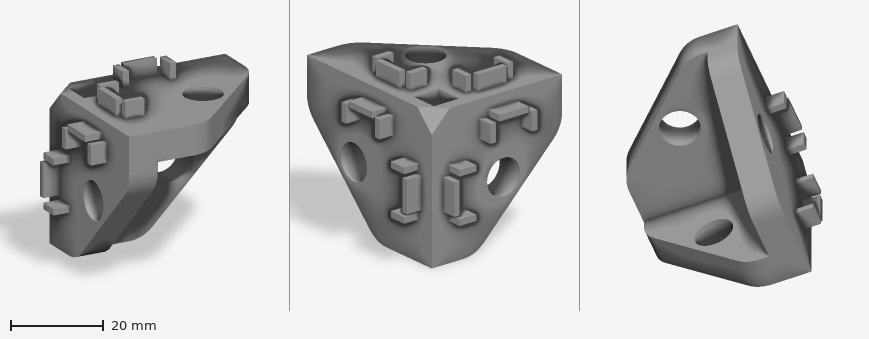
import cadquery as cq

PLATE_THICKNESS = 7.0
WING_LENGTH = 36.0
LONG_WING_LENGTH = WING_LENGTH + PLATE_THICKNESS
BEVEL = 24.0
BEVEL_ROUND = 8.0

HOLE_DIAMETER = 9.0
HOLE_OFFSET = 19.8
LONG_HOLE_OFFSET = HOLE_OFFSET + PLATE_THICKNESS

SQUARE_HOLE_SIDE = 7.0
SQUARE_HOLE_OFFSET = 3.0

CORNER_CUT = 5.0

PEG_HEIGHT = 4.0
PEG_THICKNESS = 1.5
BAR_LENGTH = 8.0
SIDE_LENGTH = 4.6
PEG_GAP = 1.0
GROUP_CENTRE = 19.5
SIDE_START = 4.5
BAR_START = 3.5
FRONT_BAR_START = 3.0

ORIGIN = (0, 0, 0)
FRONT = cq.Plane(origin=ORIGIN, xDir=(1, 0, 0), normal=(0, 1, 0))
LEFT = cq.Plane(origin=ORIGIN, xDir=(0, 0, -1), normal=(1, 0, 0))
TOP = cq.Plane(origin=ORIGIN, xDir=(0, 1, 0), normal=(0, 0, -1))


def plate(plane, length_x, length_y):
    """Plate with a bevelled free corner, rounded at both ends of the bevel."""
    outline = [
        (0, 0),
        (length_x, 0),
        (length_x, length_y - BEVEL),
        (length_x - BEVEL, length_y),
        (0, length_y),
    ]
    body = cq.Workplane(plane).polyline(outline).close().extrude(PLATE_THICKNESS)
    upright_edges = body.edges(cq.selectors.ParallelDirSelector(plane.zDir))
    diagonal = plane.xDir + plane.yDir
    bevel_ends = upright_edges.edges(cq.selectors.DirectionMinMaxSelector(diagonal))
    return bevel_ends.fillet(BEVEL_ROUND)


def round_hole(plane, x, y):
    """Round hole through one plate, centred at (x, y)."""
    return cq.Workplane(plane).center(x, y).circle(HOLE_DIAMETER / 2).extrude(PLATE_THICKNESS)


def peg(plane, x, y, size_x, size_y):
    """Rectangular peg with its near corner at (x, y), standing on the outer face."""
    return cq.Workplane(plane).center(x, y).rect(size_x, size_y, centered=False).extrude(-PEG_HEIGHT)


def peg_group(plane, bar_start, across):
    """Middle peg flanked by two side pegs, next to one edge of a face.

    The group follows the local x edge when across is False and the local y edge when it is True.
    """
    half_bar = BAR_LENGTH / 2
    half_opening = half_bar + PEG_GAP
    boxes = [
        (GROUP_CENTRE - half_bar, bar_start, BAR_LENGTH, PEG_THICKNESS),
        (GROUP_CENTRE - half_opening - PEG_THICKNESS, SIDE_START, PEG_THICKNESS, SIDE_LENGTH),
        (GROUP_CENTRE + half_opening, SIDE_START, PEG_THICKNESS, SIDE_LENGTH),
    ]
    pegs = cq.Workplane()
    for along, away, size_along, size_away in boxes:
        if across:
            pegs = pegs.add(peg(plane, away, along, size_away, size_along))
        else:
            pegs = pegs.add(peg(plane, along, away, size_along, size_away))
    return pegs.combine()


def corner_cut():
    """Tetrahedron that takes off the outer corner."""
    corner = cq.Vector(0, 0, 0)
    tips = [cq.Vector(CORNER_CUT, 0, 0), cq.Vector(0, CORNER_CUT, 0), cq.Vector(0, 0, -CORNER_CUT)]
    sides = [[corner, tips[0], tips[1]], [corner, tips[1], tips[2]], [corner, tips[2], tips[0]], tips]
    faces = [cq.Face.makeFromWires(cq.Wire.makePolygon(side, close=True)) for side in sides]
    return cq.Workplane(cq.Solid.makeSolid(cq.Shell.makeShell(faces)))


def square_hole():
    """Square hole through the top plate only."""
    return (
        cq.Workplane(TOP)
        .center(SQUARE_HOLE_OFFSET, SQUARE_HOLE_OFFSET)
        .rect(SQUARE_HOLE_SIDE, SQUARE_HOLE_SIDE, centered=False)
        .extrude(PLATE_THICKNESS)
    )


FACES = [
    (FRONT, WING_LENGTH, WING_LENGTH, HOLE_OFFSET, HOLE_OFFSET, FRONT_BAR_START),
    (LEFT, WING_LENGTH, LONG_WING_LENGTH, HOLE_OFFSET, LONG_HOLE_OFFSET, BAR_START),
    (TOP, LONG_WING_LENGTH, WING_LENGTH, LONG_HOLE_OFFSET, HOLE_OFFSET, BAR_START),
]

result = cq.Workplane()
for plane, length_x, length_y, _, _, _ in FACES:
    result = result.add(plate(plane, length_x, length_y))
result = result.combine()

for plane, _, _, hole_x, hole_y, bar_start in FACES:
    result = result.cut(round_hole(plane, hole_x, hole_y))
    result = result.union(peg_group(plane, bar_start, across=False))
    result = result.union(peg_group(plane, bar_start, across=True))

result = result.cut(square_hole()).cut(corner_cut())